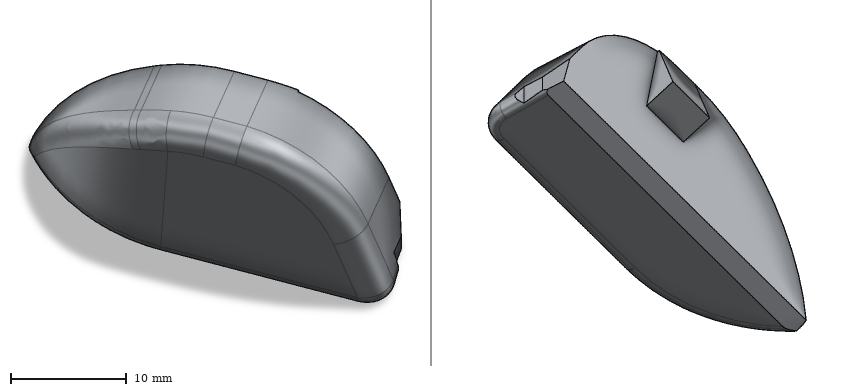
import cadquery as cq
import math

length = 34.58
tilt = 10.0
front_foot_y = -0.19
thickness = 8.5
height = 15.75
front_radius = 2.5
base_radius = 1.0
below_base = 3.45
edge_margin = 0.05
straight_margin = 0.001
cut_size = 51.87

tip_height = 1.9
crown_start_x = 17.4
crown_end_x = 20.45
shoulder_x = 10.9
shoulder_drop = 1.52
shoulder_slope = 27.0
shoulder_run = 0.73
leg_top_x = 31.85
leg_top_height = 7.85
leg_flare = 0.44

nose_start_x = 14.2
nose_depth = 6.7

bevel_start_y = 6.88
bevel_end_y = 8.6
bevel_rise = 0.7

relief_x = 33.85
relief_front_y = 4.05
relief_step_y = 4.7
relief_bend_y = 6.78
relief_back_x = 32.92
relief_back_y = 9.27

lug_start_x = 18.15
lug_width = 5.0
lug_tip = (12.55, 7.7)
lug_foot = (9.58, 6.67)

sin_tilt = math.sin(math.radians(tilt))
cos_tilt = math.cos(math.radians(tilt))


def leaning_point(depth, rise):
    """Y and Z of a point given by its depth behind and rise along the front face."""
    y = front_foot_y + depth * cos_tilt + rise * sin_tilt
    z = rise * cos_tilt - depth * sin_tilt
    return (y, z)


leaning_plane = cq.Plane(
    origin=(0, front_foot_y, 0),
    xDir=(1, 0, 0),
    normal=(0, -cos_tilt, sin_tilt),
)


def leg_x(rise):
    """X of the straight right leg at a given rise along the front face."""
    return leg_top_x + leg_flare * (leg_top_height - rise)


def make_arch(depth):
    """Arched outline extruded square to the leaning front face."""
    slope = math.radians(shoulder_slope)
    shoulder_low = (
        shoulder_x - shoulder_run * math.cos(slope),
        height - shoulder_drop - shoulder_run * math.sin(slope),
    )
    return (
        cq.Workplane(leaning_plane)
        .moveTo(crown_end_x, height)
        .lineTo(crown_start_x, height)
        .tangentArcPoint((shoulder_x, height - shoulder_drop), relative=False)
        .lineTo(*shoulder_low)
        .tangentArcPoint((0, tip_height), relative=False)
        .lineTo(0, -below_base)
        .lineTo(leg_x(-below_base), -below_base)
        .lineTo(leg_top_x, leg_top_height)
        .tangentArcPoint((crown_end_x, height), relative=False)
        .close()
        .extrude(-depth)
    )


def make_flat_sided_block():
    """Block with the straight leg as its whole right side, its front corner rounded."""
    block = (
        cq.Workplane(leaning_plane)
        .polyline([
            (0, -below_base),
            (leg_x(-below_base), -below_base),
            (leg_x(height), height),
            (0, height),
        ])
        .close()
        .extrude(-thickness)
    )
    corner_y, corner_z = leaning_point(0, height / 2)
    corner = cq.selectors.NearestToPointSelector((leg_x(height / 2), corner_y, corner_z))
    return block.edges(corner).fillet(front_radius)


def make_nose_cut():
    """Removes the front left corner along an arc that is tangent to the front face."""
    section = cq.Plane(
        origin=(0, front_foot_y, 0),
        xDir=(1, 0, 0),
        normal=(0, sin_tilt, cos_tilt),
    )
    return (
        cq.Workplane(section)
        .moveTo(cut_size, 0)
        .lineTo(nose_start_x, 0)
        .tangentArcPoint((0, nose_depth), relative=False)
        .lineTo(-nose_depth, nose_depth)
        .lineTo(-nose_depth, -nose_depth)
        .lineTo(cut_size, -nose_depth)
        .close()
        .extrude(cut_size, both=True)
    )


def make_underside_cut():
    """Trims the base flat and bevels it upward at the back."""
    bevel_slope = bevel_rise / (bevel_end_y - bevel_start_y)
    return (
        cq.Workplane("YZ")
        .moveTo(-cut_size, 0)
        .lineTo(bevel_start_y, 0)
        .lineTo(cut_size, (cut_size - bevel_start_y) * bevel_slope)
        .lineTo(cut_size, -cut_size)
        .lineTo(-cut_size, -cut_size)
        .close()
        .extrude(cut_size, both=True)
    )


def make_foot_relief():
    """Upright cut that narrows the rear of the right foot."""
    return (
        cq.Workplane("XY")
        .polyline([
            (cut_size, relief_front_y),
            (length, relief_front_y),
            (relief_x, relief_step_y),
            (relief_x, relief_bend_y),
            (relief_back_x, relief_back_y),
            (relief_back_x, cut_size),
            (cut_size, cut_size),
        ])
        .close()
        .extrude(cut_size)
    )


def make_lug():
    """Triangular wedge standing on the back face, with its root inside the body.

    The arch, carried on backward, trims it flush with the outer wall.
    """
    root_depth = thickness / 2
    back_top = leaning_point(thickness, height)
    wedge = (
        cq.Workplane("YZ", origin=(lug_start_x, 0, 0))
        .polyline([
            back_top,
            lug_tip,
            lug_foot,
            leaning_point(root_depth, height / 2),
        ])
        .close()
        .extrude(lug_width)
    )
    return wedge.intersect(make_arch(2 * thickness))


def depth_of(point):
    """Distance of a point behind the front face."""
    return (point.y - front_foot_y) * cos_tilt - point.z * sin_tilt


def is_front_rim(edge):
    """True for the edges where the outer wall meets the front face or the nose."""
    middle = edge.positionAt(0.5)
    upright_nose_seam = edge.geomType() == "LINE" and abs(middle.x - nose_start_x) < edge_margin
    runs_backward = abs(abs(edge.tangentAt(0.5).y) - cos_tilt) < straight_margin
    on_back = depth_of(middle) > thickness - edge_margin
    return middle.z > 0 and not (upright_nose_seam or runs_backward or on_back)


def is_base_rim(edge):
    """True for the edges of the flat base along the nose, the front face and the leg."""
    middle = edge.positionAt(0.5)
    on_base = abs(middle.z) < edge_margin
    on_bevel_line = abs(middle.y - bevel_start_y) < edge_margin
    on_tip = middle.x < edge_margin
    return on_base and not (on_bevel_line or on_tip)


blank = make_arch(thickness).cut(make_nose_cut())
rim_edges = blank.edges().filter(is_front_rim).vals()
rim_rounded = blank.newObject(rim_edges).fillet(front_radius)

trimmed = make_flat_sided_block().cut(make_nose_cut()).cut(make_underside_cut())
base_edges = trimmed.edges().filter(is_base_rim).vals()
base_rounded = trimmed.newObject(base_edges).fillet(base_radius)

body = rim_rounded.intersect(base_rounded)
body = body.cut(make_foot_relief())
result = body.union(make_lug())